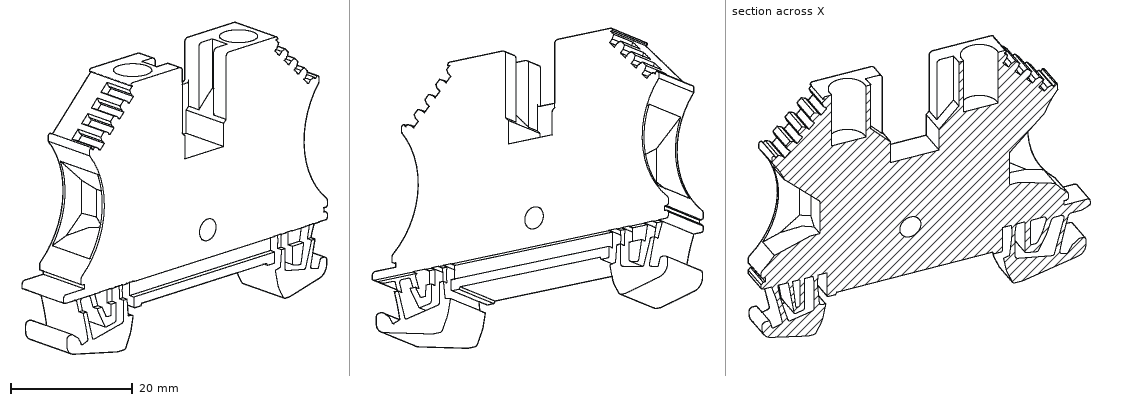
import cadquery as cq
import math


width = 9.9
height = 46.25
flange_z = 11.47
ear_y = 28.0
ear_fillet = 0.65
ear_bevel = 0.4
corner_fillet = 0.45
ear_groove_floor_y = 27.22
ear_groove_z = (12.89, 13.64)
tip_y = 26.07
tip_top_z = 37.15
tip_width = 0.5
tip_undercut = 0.3
top_edge_y = 16.7
top_edge_drop = 0.48
top_edge_overhang = 0.4
slope_sum = 62.0
overlap = 0.6

scallop_radius = 14.89
scallop_y = 37.58
scallop_z = 26.42
scallop_overlap = 2.0
ear_top_z = scallop_z - math.sqrt(scallop_radius ** 2 - (scallop_y - ear_y) ** 2)
block_y = 16.0
block_z = 7.15
pad_length = 1.6
pad_drop = 0.4
pad_end_bevel = 0.25
pad_fillet = 0.3

notch_y = 4.95
notch_z = 38.75
notch_floor_fillet = 0.4
notch_top_fillet = 0.7
notch_lip = 0.95
recess_y = 4.4
recess_slope_z = 34.6
recess_floor_z = 30.0
screw_x = 5.45
screw_y = 12.03
screw_radius = 3.15
screw_depth = 10.0
slot_x = (3.4, 6.95)
slot_end_y = 8.0

rib_start_x = 4.5
groove_count = 4
groove_top_z = 45.07
groove_pitch = 3.1
groove_mouth = 2.0
groove_depth = 1.5
groove_flare_depth = 0.74
groove_flare = 0.32
marker_depth = 2.8

entry_x = (0.5, 9.4)
entry_end_x = (2.35, 8.4)
entry_taper_y = 18.9
entry_end_y = 17.3
entry_floor_break_y = 19.0
entry_floor_z = 19.63
entry_mouth_y = 25.58
entry_mouth_z = 17.6
entry_end_ceiling_z = 25.9
entry_ceiling_slope = 0.935
entry_facet_start = (22.5, 18.5)
entry_facet_end_z = 21.06
entry_facet_x = (3.7, 7.1)

hole_y = 0.8
hole_z = 16.33
hole_radius = 1.88
step_x = 8.9
step_z = (8.7, 11.4)
blind_pocket_depth = 8.0


def rounded_outline(corners):
    """Closed YZ wire; every corner is (y, z) or (y, z, fillet radius)."""
    pieces = []
    for index, corner in enumerate(corners):
        point = cq.Vector(corner[0], corner[1])
        radius = corner[2] if len(corner) > 2 else 0
        if not radius:
            pieces.append((point, None, point))
            continue
        before = corners[index - 1]
        after = corners[(index + 1) % len(corners)]
        to_before = (cq.Vector(before[0], before[1]) - point).normalized()
        to_after = (cq.Vector(after[0], after[1]) - point).normalized()
        half_angle = to_before.getAngle(to_after) / 2
        setback = radius / math.tan(half_angle)
        bisector = (to_before + to_after).normalized()
        middle = point + bisector * (radius / math.sin(half_angle) - radius)
        pieces.append((point + to_before * setback, middle, point + to_after * setback))

    outline = cq.Workplane("YZ").moveTo(pieces[0][2].x, pieces[0][2].y)
    for start, middle, end in pieces[1:] + pieces[:1]:
        outline = outline.lineTo(start.x, start.y)
        if middle is not None:
            outline = outline.threePointArc((middle.x, middle.y), (end.x, end.y))
    return outline.close()


def plate(corners, depth=width):
    return rounded_outline(corners).extrude(depth)


def box_between(x_range, y_range, z_range):
    size = (x_range[1] - x_range[0], y_range[1] - y_range[0], z_range[1] - z_range[0])
    return cq.Workplane("XY").box(*size, centered=False).translate((x_range[0], y_range[0], z_range[0]))


def both_sides(shape):
    return shape.union(shape.mirror("XZ"))


def body_half():
    groove_low, groove_high = ear_groove_z
    slope_top_y = top_edge_y - top_edge_overhang
    slope_low_y = tip_y - tip_width - tip_undercut
    half = plate([
        (0, height),
        (top_edge_y, height, corner_fillet),
        (top_edge_y, height - top_edge_drop),
        (slope_top_y, slope_sum - slope_top_y),
        (slope_low_y, slope_sum - slope_low_y),
        (tip_y - tip_width, tip_top_z),
        (tip_y, tip_top_z, corner_fillet),
        (tip_y, tip_top_z - scallop_overlap),
        (ear_y, ear_top_z + scallop_overlap),
        (ear_y, groove_high + ear_bevel / 2, ear_bevel / 2),
        (ear_y - ear_bevel, groove_high),
        (ear_groove_floor_y, groove_high),
        (ear_groove_floor_y, groove_low),
        (ear_y - ear_bevel, groove_low),
        (ear_y, groove_low - ear_bevel),
        (ear_y, flange_z, corner_fillet),
        (block_y, flange_z),
        (block_y, block_z - pad_drop, pad_fillet),
        (block_y - pad_length, block_z - pad_drop),
        (block_y - pad_length - pad_end_bevel, block_z),
        (0, block_z),
    ])
    scallop = cq.Workplane("YZ").center(scallop_y, scallop_z).circle(scallop_radius).extrude(width)
    ear_edge = cq.selectors.NearestToPointSelector((width / 2, ear_y, ear_top_z))
    return half.cut(scallop).edges(ear_edge).fillet(ear_fillet)


def top_notch():
    notch = plate([
        (-notch_y, height),
        (-notch_y, notch_z, notch_floor_fillet),
        (notch_y, notch_z, notch_floor_fillet),
        (notch_y, height),
    ])
    slope_end_z = recess_slope_z - (notch_y - recess_y)
    recess = plate([
        (-notch_y, height),
        (-notch_y, recess_slope_z),
        (-recess_y, slope_end_z),
        (-recess_y, recess_floor_z),
        (recess_y, recess_floor_z),
        (recess_y, slope_end_z),
        (notch_y, recess_slope_z),
        (notch_y, height),
    ], width - notch_lip)
    return notch.union(recess.translate((notch_lip, 0, 0)))


def screwdriver_slot():
    """Upright slot beside the notch whose floor slopes down at 45 degrees into the recess."""
    floor_low_z = recess_slope_z - (notch_y - recess_y)
    return plate([
        (recess_y, height),
        (recess_y, floor_low_z),
        (slot_end_y, floor_low_z + slot_end_y - recess_y),
        (slot_end_y, height),
    ], slot_x[1] - slot_x[0]).translate((slot_x[0], 0, 0))


def screw_hole():
    hole = cq.Workplane("XY").center(screw_x, screw_y).circle(screw_radius).extrude(screw_depth)
    return hole.translate((0, 0, height - screw_depth))


def shoulder_point(along, depth):
    """YZ point a distance down the shoulder from its first groove and a depth below its surface."""
    diagonal = math.sqrt(0.5)
    return (
        slope_sum - groove_top_z + (along - depth) * diagonal,
        groove_top_z - (along + depth) * diagonal,
    )


def rib_grooves():
    """Grooves with flared mouths across the sloping shoulder, leaving ribs between them."""
    grooves = cq.Workplane("YZ")
    for index in range(groove_count):
        start = index * groove_pitch
        end = start + groove_mouth
        groove = plate([
            shoulder_point(start, -overlap),
            shoulder_point(start, 0),
            shoulder_point(start + groove_flare, groove_flare_depth),
            shoulder_point(start + groove_flare, groove_depth),
            shoulder_point(end - groove_flare, groove_depth),
            shoulder_point(end - groove_flare, groove_flare_depth),
            shoulder_point(end, 0),
            shoulder_point(end, -overlap),
        ], width - rib_start_x)
        grooves = grooves.add(groove)
    return grooves.combine().translate((rib_start_x, 0, 0))


def marker_recess():
    """Slanted recess in the -X face, parallel to the shoulder; upper and outer walls lean inward."""
    inner_y = 15.4
    outer_y = 24.35
    bottom_y = 23.8
    upper_sum = 60.6
    lower_sum = 58.4
    lean = 0.35

    def outline(upper, outer, bottom):
        return [
            (inner_y, upper - inner_y),
            (outer, upper - outer),
            (bottom, lower_sum - bottom),
            (inner_y, lower_sum - inner_y),
        ]

    mouth = cq.Workplane("YZ").polyline(outline(upper_sum, outer_y, bottom_y)).close()
    floor = mouth.workplane(offset=marker_depth).polyline(
        outline(upper_sum - lean, outer_y - lean, bottom_y - lean)
    ).close()
    return floor.loft(ruled=True)


def beyond_plane(origin, first, second):
    """Large block on the low side of the plane through three points."""
    block_size = 30.0
    start = cq.Vector(*origin)
    along = cq.Vector(*first) - start
    normal = along.cross(cq.Vector(*second) - start)
    if normal.z > 0:
        normal = normal * -1
    plane = cq.Plane(origin=start, xDir=along, normal=normal)
    return cq.Workplane(plane).rect(block_size, block_size).extrude(block_size)


def wire_entry():
    """Funnel into the +Y scallop: sloping ceiling, tapered sides and faceted lower corners."""
    mouth_y = ear_y + overlap
    floor_slope = (entry_floor_z - entry_mouth_z) / (entry_mouth_y - entry_floor_break_y)
    side_shape = plate([
        (entry_end_y, entry_floor_z),
        (entry_end_y, entry_end_ceiling_z),
        (mouth_y, entry_end_ceiling_z + entry_ceiling_slope * (mouth_y - entry_end_y)),
        (mouth_y, entry_floor_z - floor_slope * (mouth_y - entry_floor_break_y)),
        (entry_floor_break_y, entry_floor_z),
    ])
    plan_shape = cq.Workplane("XY").polyline([
        (entry_end_x[0], entry_end_y),
        (entry_end_x[1], entry_end_y),
        (entry_x[1], entry_taper_y),
        (entry_x[1], mouth_y),
        (entry_x[0], mouth_y),
        (entry_x[0], entry_taper_y),
    ]).close().extrude(height)
    funnel = side_shape.intersect(plan_shape)
    for outer_x, end_x, facet_x in zip(entry_x, entry_end_x, entry_facet_x):
        funnel = funnel.cut(beyond_plane(
            (outer_x, *entry_facet_start),
            (end_x, entry_end_y, entry_facet_end_z),
            (facet_x, entry_end_y, entry_floor_z),
        ))
    return funnel


def left_leg():
    """Leg and hooked foot on the +Y side."""
    root_z = flange_z + overlap
    outer = plate([
        (17.5, root_z),
        (26.05, root_z),
        (26.05, 11.3, 0.4),
        (25.2, 8.8, 20.0),
        (24.1, 3.85, 0.3),
        (25.9, 3.4, 0.1),
        (26.4, 5.05, 0.4),
        (27.85, 5.05, 0.7),
        (27.85, 2.0, 2.2),
        (19.4, 0, 1.5),
        (18.1, 0, 0.6),
        (16.8, 2.3, 5.0),
        (16.15, 5.45, 0.1),
        (17.3, 5.72, 0.1),
        (17.68, 10.0, 1.0),
    ])
    window = plate([
        (24.92, flange_z, 0.1),
        (24.35, 8.5, 20.0),
        (22.95, 3.95, 0.35),
        (18.35, 4.85, 0.5),
        (18.35, 10.2, 1.0),
        (18.57, flange_z),
        (20.0, flange_z),
        (20.0, 5.4, 0.5),
        (21.95, 5.02, 0.3),
        (23.07, flange_z),
    ])
    return outer.cut(window)


def tongue_pocket():
    """Blind tapered pocket in the tongue of the +Y leg."""
    return plate([
        (22.2, flange_z),
        (21.6, 6.3, 0.2),
        (20.95, 6.3, 0.2),
        (20.95, flange_z),
    ], blind_pocket_depth)


def right_leg():
    """Leg, hooked foot and release lip on the -Y side."""
    root_z = flange_z + overlap
    lip_end_y = -32.0
    outer = plate([
        (-17.5, root_z),
        (-17.7, 10.0, 1.0),
        (-17.22, 5.72, 0.1),
        (-16.12, 5.5, 0.1),
        (-16.65, 2.8, 5.0),
        (-17.9, 0, 0.6),
        (-19.7, 0, 1.0),
        (-31.2, 2.35, 1.9),
        (-31.2, 5.55, 0.65),
        (-30.0, 5.6, 0.5),
        (-28.6, 4.6, 0.5),
        (-27.8, 3.2, 0.2),
        (-26.4, 3.65, 0.3),
        (-26.9, 6.3, 40.0),
        (-28.1, 10.9, 0.5),
        (-30.4, 10.9, 1.0),
        (lip_end_y, 11.55, 0.15),
        (lip_end_y, ear_groove_z[0], 0.65),
        (-ear_y + 2 * overlap, ear_groove_z[0]),
    ])
    window = plate([
        (-18.53, flange_z),
        (-18.33, 10.2, 1.0),
        (-18.33, 4.85, 0.5),
        (-25.3, 3.5, 0.35),
        (-27.3, 10.9, 0.5),
        (-25.05, 10.9, 0.5),
        (-24.15, 8.25, 5.0),
        (-22.45, 4.97, 0.2),
        (-20.0, 5.4, 0.5),
        (-20.0, flange_z),
    ])
    tongue_opening = plate([
        (-21.1, flange_z, 0.3),
        (-24.1, flange_z, 0.5),
        (-23.2, 8.6, 4.0),
        (-22.2, 6.75, 0.3),
        (-21.15, 6.75, 0.1),
    ])
    return outer.cut(window).cut(tongue_opening)


def cross_hole():
    return cq.Workplane("YZ").center(hole_y, hole_z).circle(hole_radius).extrude(width)


def side_step():
    """Channel along the whole length of the +X face."""
    reach = 2 * ear_y
    return box_between((step_x, width), (-reach, reach), step_z)


body = both_sides(body_half())
body = body.cut(top_notch())
for side in (-1, 1):
    notch_edge = cq.selectors.NearestToPointSelector((width / 2, side * notch_y, height))
    body = body.edges(notch_edge).fillet(notch_top_fillet)

for mirrored_cut in (screwdriver_slot, screw_hole, rib_grooves, marker_recess, wire_entry):
    body = body.cut(both_sides(mirrored_cut()))

result = body.union(left_leg()).union(right_leg())
result = result.cut(tongue_pocket()).cut(cross_hole()).cut(side_step())